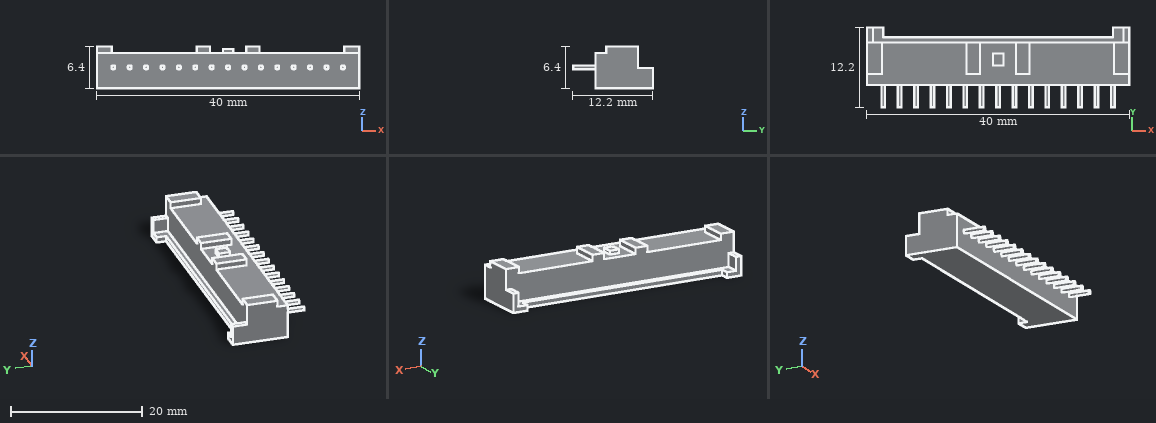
import cadquery as cq

housing_length = 40.0
housing_depth = 8.8
housing_height = 5.4

step_depth = 2.3
step_height = 3.1
cheek_thickness = 0.9
floor_thickness = 0.9

ear_width = 2.5
notch_depth = 1.5

rib_height = 1.0
rib_front_y = 1.65
end_rib_width = 2.3
middle_rib_width = 2.05
middle_rib_inner_x = 2.75

pad_width = 1.6
pad_depth = 1.8
pad_height = 0.6
pad_rear_inset = 4.0

pin_count = 15
pin_pitch = 2.5
pin_diameter = 0.6
pin_length = 3.4
pin_height = 3.2

upper_rear_y = housing_depth - step_depth


def block(x_start, x_end, y_start, y_end, z_start, z_end):
    """Rectangular block spanning the given ranges."""
    size = (x_end - x_start, y_end - y_start, z_end - z_start)
    corner = (x_start, y_start, z_start)
    return cq.Workplane("XY").box(*size, centered=False).translate(corner)


def make_housing():
    """Tall front block with the stepped and notched rear."""
    half_length = housing_length / 2
    half_recess = half_length - cheek_thickness
    half_notch = half_length - ear_width
    notch_y = housing_depth - notch_depth

    body = block(-half_length, half_length, 0, upper_rear_y, 0, housing_height)
    step = block(-half_length, half_length, upper_rear_y, housing_depth, 0, step_height)
    recess = block(-half_recess, half_recess, upper_rear_y, housing_depth, floor_thickness, step_height)
    notch = block(-half_notch, half_notch, notch_y, housing_depth, 0, step_height)
    return body.union(step.cut(recess).cut(notch))


def make_rib(x_start, width):
    """Rib on the top face, flush with the rear of the tall block."""
    top = housing_height + rib_height
    return block(x_start, x_start + width, rib_front_y, upper_rear_y, housing_height, top)


def make_ribs():
    """One rib at each end and a pair about the middle."""
    end_rib = make_rib(housing_length / 2 - end_rib_width, end_rib_width)
    middle_rib = make_rib(middle_rib_inner_x, middle_rib_width)
    right_ribs = end_rib.union(middle_rib)
    return right_ribs.union(right_ribs.mirror("YZ"))


def make_pad():
    """Centred pad on the top face."""
    rear_y = housing_depth - pad_rear_inset
    top = housing_height + pad_height
    return block(-pad_width / 2, pad_width / 2, rear_y - pad_depth, rear_y, housing_height, top)


def make_pins():
    """Pins standing out from the front face."""
    first_x = -(pin_count - 1) * pin_pitch / 2
    centres = [(first_x + i * pin_pitch, pin_height) for i in range(pin_count)]
    return cq.Workplane("XZ").pushPoints(centres).circle(pin_diameter / 2).extrude(pin_length)


result = make_housing().union(make_ribs()).union(make_pad()).union(make_pins())